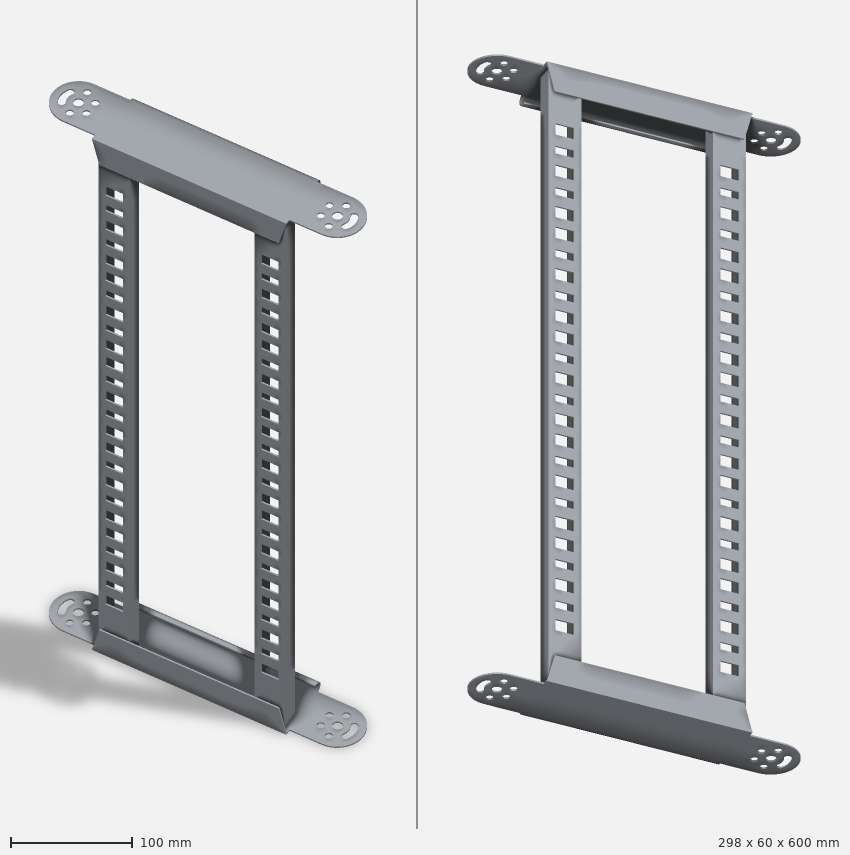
import cadquery as cq
import math

FRAME_HEIGHT = 600.0
FRAME_DEPTH = 60.0
SHEET = 1.5

BRACKET_LENGTH = 298.0
PLATE_WIDTH = 49.0
HOOK_HEIGHT = 11.0
HOOK_LENGTH = 180.0
HOOK_RETURN = 3.0
FLANGE_HEIGHT = 27.0
FLANGE_ROOT_LENGTH = 187.0
FLANGE_TIP_LENGTH = 173.0

HOLE_CENTRE_X = 125.0
CENTRE_HOLE_DIAMETER = 9.0
RING_RADIUS = 14.0
RING_HOLE_DIAMETER = 6.5
RING_STEP = 60

RAIL_WIDTH = 30.0
RAIL_DEPTH = 15.0
RAIL_LIP = 6.0
RAIL_SPACING = 150.0
RAIL_SETBACK = 5.0
RAIL_END_GAP = 2.1

GROUP_COUNT = 5
GROUP_SIZE = 5
OPENING_COUNT = GROUP_COUNT * GROUP_SIZE
OPENING_SPAN = 480.0
OPENING_WIDTH = 17.0
LARGE_OPENING_HEIGHT = 11.0
SMALL_OPENING_HEIGHT = 7.0

OPENING_PITCH = OPENING_SPAN / (OPENING_COUNT - 1)
TOP_Z = FRAME_HEIGHT / 2
FRONT_Y = -FRAME_DEPTH / 2
HOOK_RADIUS = HOOK_HEIGHT / 2
HOOK_CENTRE_Y = FRAME_DEPTH / 2 - HOOK_RADIUS
PLATE_CENTRE_Y = HOOK_CENTRE_Y - PLATE_WIDTH / 2
RAIL_FRONT_Y = FRONT_Y + RAIL_SETBACK
RAIL_LENGTH = FRAME_HEIGHT - 2 * (SHEET + RAIL_END_GAP)


def plate():
    """Round-ended plate, widened to the front where the flange folds down."""
    base_z = TOP_Z - SHEET
    strip = (
        cq.Workplane("XY", origin=(0, PLATE_CENTRE_Y, base_z))
        .slot2D(BRACKET_LENGTH, PLATE_WIDTH)
        .extrude(SHEET)
    )
    fold_depth = PLATE_CENTRE_Y - FRONT_Y
    fold_strip = (
        cq.Workplane("XY", origin=(0, FRONT_Y + fold_depth / 2, base_z))
        .rect(FLANGE_ROOT_LENGTH, fold_depth)
        .extrude(SHEET)
    )
    return strip.union(fold_strip)


def flange():
    """Front flange, tapering towards its free edge."""
    tip_z = TOP_Z - FLANGE_HEIGHT
    return (
        cq.Workplane("XZ", origin=(0, FRONT_Y, 0))
        .moveTo(-FLANGE_ROOT_LENGTH / 2, TOP_Z)
        .lineTo(FLANGE_ROOT_LENGTH / 2, TOP_Z)
        .lineTo(FLANGE_TIP_LENGTH / 2, tip_z)
        .lineTo(-FLANGE_TIP_LENGTH / 2, tip_z)
        .close()
        .extrude(-SHEET)
    )


def hook():
    """Rear edge rolled through a half turn and ended by a short lip."""
    y = HOOK_CENTRE_Y
    centre_z = TOP_Z - HOOK_RADIUS
    low_z = TOP_Z - HOOK_HEIGHT
    lip_y = y - HOOK_RETURN
    inner_radius = HOOK_RADIUS - SHEET
    return (
        cq.Workplane("YZ", origin=(-HOOK_LENGTH / 2, 0, 0))
        .moveTo(y, TOP_Z)
        .threePointArc((y + HOOK_RADIUS, centre_z), (y, low_z))
        .lineTo(lip_y, low_z)
        .lineTo(lip_y, low_z + SHEET)
        .lineTo(y, low_z + SHEET)
        .threePointArc((y + inner_radius, centre_z), (y, TOP_Z - SHEET))
        .close()
        .extrude(HOOK_LENGTH)
    )


def ring_point(radius, angle):
    """Point on a circle about the hole-pattern centre at the +X end."""
    turn = math.radians(angle)
    return (HOLE_CENTRE_X + radius * math.cos(turn), radius * math.sin(turn))


def mounting_holes():
    """Cutters at the +X end: a centre hole, four ring holes and a curved slot facing the tip."""
    sketch_plane = cq.Workplane("XY", origin=(0, PLATE_CENTRE_Y, TOP_Z))
    centre_hole = (
        sketch_plane.center(HOLE_CENTRE_X, 0).circle(CENTRE_HOLE_DIAMETER / 2).extrude(-SHEET)
    )
    slot_end = RING_STEP / 2
    hole_angles = [slot_end + RING_STEP * i for i in range(360 // RING_STEP)]
    ring_holes = (
        sketch_plane.pushPoints([ring_point(RING_RADIUS, angle) for angle in hole_angles])
        .circle(RING_HOLE_DIAMETER / 2)
        .extrude(-SHEET)
    )
    outer = RING_RADIUS + RING_HOLE_DIAMETER / 2
    inner = RING_RADIUS - RING_HOLE_DIAMETER / 2
    slot_middle = (
        sketch_plane.moveTo(*ring_point(outer, -slot_end))
        .threePointArc(ring_point(outer, 0), ring_point(outer, slot_end))
        .lineTo(*ring_point(inner, slot_end))
        .threePointArc(ring_point(inner, 0), ring_point(inner, -slot_end))
        .close()
        .extrude(-SHEET)
    )
    return centre_hole.union(ring_holes).union(slot_middle)


def top_bracket():
    """Folded sheet bracket closing the top of the frame."""
    holes = mounting_holes()
    return (
        plate()
        .union(flange())
        .union(hook())
        .cut(holes)
        .cut(holes.mirror("YZ"))
    )


def rail(centre_x):
    """Channel with its perforated web at the front and a lipped open side at the rear."""
    def bar(width, front_y, depth):
        return cq.Workplane("XY").box(width, depth, RAIL_LENGTH).translate(
            (centre_x, front_y + depth / 2, 0)
        )

    hollow = bar(RAIL_WIDTH - 2 * SHEET, RAIL_FRONT_Y + SHEET, RAIL_DEPTH - 2 * SHEET)
    rear_gap = bar(RAIL_WIDTH - 2 * RAIL_LIP, RAIL_FRONT_Y + SHEET, RAIL_DEPTH)
    channel = bar(RAIL_WIDTH, RAIL_FRONT_Y, RAIL_DEPTH).cut(hollow).cut(rear_gap)
    for i in range(OPENING_COUNT):
        z = i * OPENING_PITCH - OPENING_SPAN / 2
        place_in_group = i % GROUP_SIZE
        height = LARGE_OPENING_HEIGHT if place_in_group % 2 == 0 else SMALL_OPENING_HEIGHT
        opening = cq.Workplane("XY").box(OPENING_WIDTH, 2 * SHEET, height)
        channel = channel.cut(opening.translate((centre_x, RAIL_FRONT_Y, z)))
    return channel


upper_bracket = top_bracket()
lower_bracket = upper_bracket.mirror("XY")
rails = [rail(side * RAIL_SPACING / 2) for side in (-1, 1)]

result = cq.Compound.makeCompound(
    [upper_bracket.val(), lower_bracket.val(), *[body.val() for body in rails]]
)